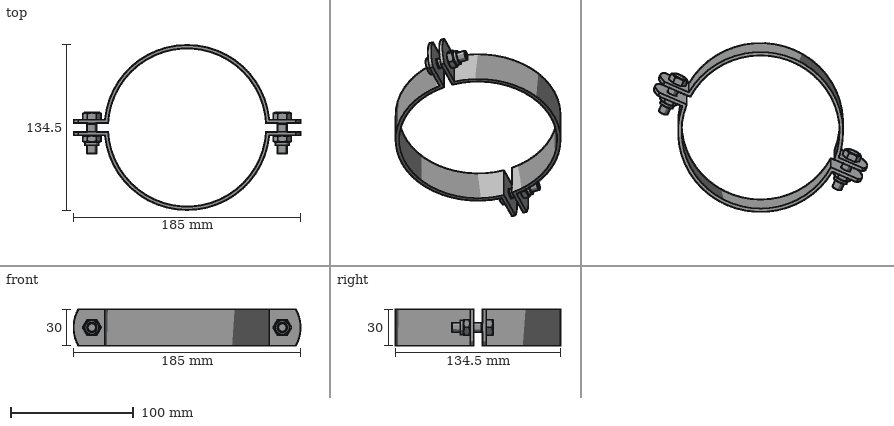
import cadquery as cq
import math

overall_length = 185.0
band_diameter = 134.5
band_width = 30.0
band_thickness = 3.0
gap = 7.0
tab_end_radius = band_width
bolt_edge_distance = 15.0
bolt_hole_diameter = 8.5

thread_diameter = 8.0
neck_diameter = 7.4
neck_clearance = 1.0
bolt_tip_diameter = 6.7
bolt_tip_length = 0.4
head_height = 5.7
bolt_projection = 15.0

hex_flats = 13.0
hex_chamfer_diameter = 11.7
hex_chamfer_angle = 30.0

nut_height = 5.5
collar_height = 2.5
collar_diameter = 11.5

half_gap = gap / 2
tab_face = half_gap + band_thickness
outer_radius = band_diameter / 2
inner_radius = outer_radius - band_thickness
half_length = overall_length / 2
bolt_x = half_length - bolt_edge_distance
hex_corners = hex_flats / math.cos(math.pi / 6)
head_top = tab_face + head_height
bolt_end = -tab_face - bolt_projection
nut_end = -tab_face - nut_height


def y_cylinder(diameter, y_start, y_end):
    """Cylinder about the Y axis between two Y positions."""
    disc = cq.Workplane("XZ", origin=(0, y_start, 0)).circle(diameter / 2)
    return disc.extrude(y_start - y_end)


def hexagon(y_back, y_front, chamfer_front):
    """Hexagon about Y with its back corners chamfered, and its front ones on request."""
    prism = cq.Workplane("XZ", origin=(0, y_back, 0)).polygon(6, hex_corners).extrude(y_back - y_front)
    end_radius = hex_chamfer_diameter / 2
    corner_radius = hex_corners / 2
    drop = (corner_radius - end_radius) * math.tan(math.radians(hex_chamfer_angle))
    profile = cq.Workplane("XY").moveTo(0, y_back).lineTo(end_radius, y_back)
    profile = profile.lineTo(corner_radius, y_back - drop)
    if chamfer_front:
        profile = profile.lineTo(corner_radius, y_front + drop).lineTo(end_radius, y_front)
    else:
        profile = profile.lineTo(corner_radius, y_front)
    envelope = profile.lineTo(0, y_front).close().revolve(360, (0, 0, 0), (0, 1, 0))
    return prism.intersect(envelope)


def make_back_strap():
    """Half ring with a round-ended, drilled tab on each side, on the +Y side of the gap."""
    base = cq.Workplane("XY", origin=(0, 0, -band_width / 2))
    half_space = base.center(0, half_gap + outer_radius).rect(overall_length, band_diameter)
    half_space = half_space.extrude(band_width)
    tabs = base.center(0, half_gap + band_thickness / 2).rect(overall_length, band_thickness)
    tabs = tabs.extrude(band_width)
    strap = base.circle(outer_radius).extrude(band_width).intersect(half_space).union(tabs)
    strap = strap.cut(base.circle(inner_radius).extrude(band_width))

    corner_x = half_length - tab_end_radius + math.sqrt(tab_end_radius**2 - (band_width / 2) ** 2)
    outline = (
        cq.Workplane("XZ")
        .moveTo(-corner_x, -band_width / 2)
        .lineTo(corner_x, -band_width / 2)
        .threePointArc((half_length, 0), (corner_x, band_width / 2))
        .lineTo(-corner_x, band_width / 2)
        .threePointArc((-half_length, 0), (-corner_x, -band_width / 2))
        .close()
        .extrude(-band_diameter)
    )
    strap = strap.intersect(outline)

    for side in (-1, 1):
        hole = y_cylinder(bolt_hole_diameter, tab_face, half_gap)
        strap = strap.cut(hole.translate((side * bolt_x, 0, 0)))
    return strap


def make_bolt():
    """Hex bolt along Y: head at the back, narrow neck, thread and chamfered tip."""
    thread_start = half_gap - neck_clearance
    head = hexagon(head_top, tab_face, chamfer_front=False)
    neck = y_cylinder(neck_diameter, tab_face, thread_start)
    thread = y_cylinder(thread_diameter, thread_start, bolt_end)
    tip_inset = (thread_diameter - bolt_tip_diameter) / 2
    thread = thread.faces("<Y").chamfer(bolt_tip_length, tip_inset)
    return head.union(neck).union(thread)


def make_nut():
    """Hex lock nut with a round collar on its free end."""
    collar_end = nut_end - collar_height
    collar = y_cylinder(collar_diameter, nut_end, collar_end)
    body = hexagon(-tab_face, nut_end, chamfer_front=True).union(collar)
    return body.cut(y_cylinder(thread_diameter, -tab_face, collar_end))


back_strap = make_back_strap()
front_strap = back_strap.mirror("XZ")

bolts = []
nuts = []
for side in (-1, 1):
    place = (side * bolt_x, 0, 0)
    bolts.append(make_bolt().translate(place).val())
    nuts.append(make_nut().translate(place).val())

result = cq.Compound.makeCompound([back_strap.val(), front_strap.val(), *bolts, *nuts])